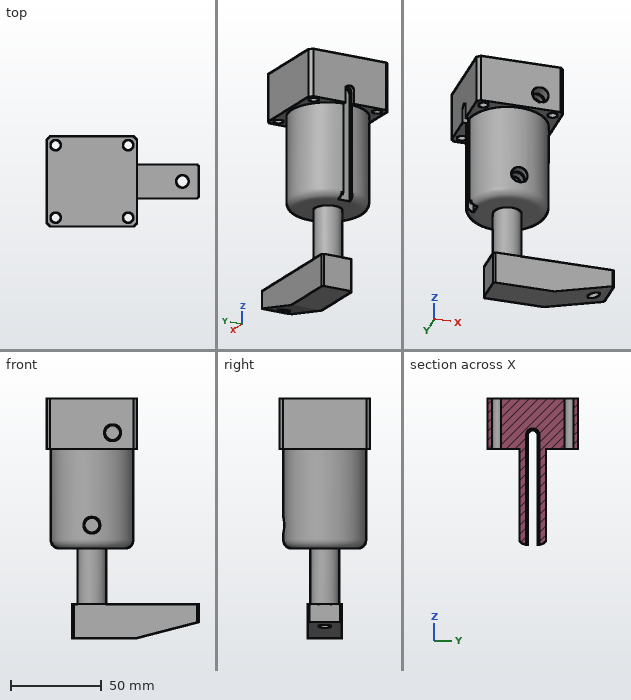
import cadquery as cq


total_height = 132.5
total_length = 84.0
block_height = 28.0
barrel_height = 55.0
arm_height = 19.0

block_bottom_z = total_height - block_height
barrel_bottom_z = block_bottom_z - barrel_height

block_side = 50.0
block_corner_chamfer = 2.0
barrel_diameter = 45.8
barrel_edge_fillet = 4.9

mount_hole_pitch = 40.0
mount_hole_diameter = 5.5

port_mouth_diameter = 9.3
port_bore_diameter = 8.2
port_step_y = -17.8
port_floor_y = -12.5
block_port_x = 11.4
block_port_z = total_height - 19.0
barrel_port_x = 0.0
barrel_port_z = total_height - 70.0

slot_mouth_width = 5.4
slot_inner_width = 7.0
slot_lip_x = -21.7
slot_floor_x = -18.3
slot_top_z = total_height - 17.6

rod_diameter = 16.0

arm_length = 70.0
arm_width = 19.0
arm_tip_x = total_length - block_side / 2
arm_tip_height = 10.0
arm_taper_start_x = 24.2
arm_corner_chamfer = 1.0
arm_hole_x = 50.0
arm_hole_diameter = 6.8


def make_block():
    return (
        cq.Workplane("XY", origin=(0, 0, block_bottom_z))
        .rect(block_side, block_side)
        .extrude(block_height)
        .edges("|Z")
        .chamfer(block_corner_chamfer)
        .faces(">Z")
        .workplane()
        .rect(mount_hole_pitch, mount_hole_pitch, forConstruction=True)
        .vertices()
        .hole(mount_hole_diameter)
    )


def make_barrel():
    return (
        cq.Workplane("XY", origin=(0, 0, barrel_bottom_z))
        .circle(barrel_diameter / 2)
        .extrude(barrel_height)
        .faces("<Z")
        .edges()
        .fillet(barrel_edge_fillet)
    )


def make_port_cutter(x, z):
    """Bore running in +Y from outside the housing, with a wider mouth."""

    def bore(diameter, inner_y):
        outer_y = -block_side / 2
        return (
            cq.Workplane("XZ", origin=(x, outer_y, z))
            .circle(diameter / 2)
            .extrude(outer_y - inner_y)
        )

    return bore(port_mouth_diameter, port_step_y).union(bore(port_bore_diameter, port_floor_y))


def make_slot_cutter(width, outer_x, inner_x):
    """Vertical slot, open at the barrel end, with a full-round upper end."""
    arc_center_z = slot_top_z - slot_mouth_width / 2
    return (
        cq.Workplane("YZ", origin=(outer_x, 0, 0))
        .moveTo(-width / 2, barrel_bottom_z)
        .lineTo(-width / 2, arc_center_z)
        .threePointArc((0, arc_center_z + width / 2), (width / 2, arc_center_z))
        .lineTo(width / 2, barrel_bottom_z)
        .close()
        .extrude(inner_x - outer_x)
    )


def make_housing():
    slot_mouth = make_slot_cutter(slot_mouth_width, -block_side / 2, slot_lip_x)
    slot_inner = make_slot_cutter(slot_inner_width, slot_lip_x, slot_floor_x)
    return (
        make_block()
        .union(make_barrel())
        .cut(make_port_cutter(block_port_x, block_port_z))
        .cut(make_port_cutter(barrel_port_x, barrel_port_z))
        .cut(slot_mouth)
        .cut(slot_inner)
    )


def make_rod():
    """Rod filling the space between the arm and the barrel end."""
    return (
        cq.Workplane("XY", origin=(0, 0, arm_height))
        .circle(rod_diameter / 2)
        .extrude(barrel_bottom_z - arm_height)
    )


def make_arm():
    """Bar with an underside that tapers up towards the tip."""
    arm_heel_x = arm_tip_x - arm_length
    return (
        cq.Workplane("XZ")
        .moveTo(arm_heel_x, 0)
        .lineTo(arm_taper_start_x, 0)
        .lineTo(arm_tip_x, arm_height - arm_tip_height)
        .lineTo(arm_tip_x, arm_height)
        .lineTo(arm_heel_x, arm_height)
        .close()
        .extrude(arm_width / 2, both=True)
        .edges("|Z")
        .chamfer(arm_corner_chamfer)
        .cut(
            cq.Workplane("XY")
            .center(arm_hole_x, 0)
            .circle(arm_hole_diameter / 2)
            .extrude(arm_height)
        )
    )


housing = make_housing()
rod = make_rod()
arm = make_arm()

result = cq.Compound.makeCompound([housing.val(), rod.val(), arm.val()])